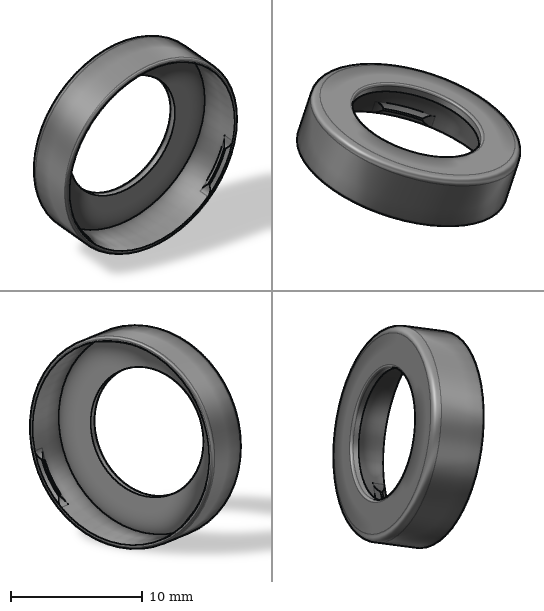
import cadquery as cq
import math

length = 4.4
outer_diameter = 16.7
skirt_bore_diameter = 16.0
opening_diameter = 10.2
plate_thickness = 0.7
front_round = 0.6
rear_round = 0.2
opening_round = 0.2

bump_angles = (-30, 90, 210)
bump_height = 0.17
bump_start = 3.39
crest_start = 3.84
crest_end = 4.0
base_half_angle = 17.3
crest_half_angle = 11.5
end_hollow = 0.042
wall_overlap = 0.08

skirt_bore_radius = skirt_bore_diameter / 2
crest_radius = skirt_bore_radius - bump_height


def cylinder(diameter, start, end):
    return cq.Workplane("YZ", origin=(start, 0, 0)).circle(diameter / 2).extrude(end - start)


def polar(radius, degrees):
    angle = math.radians(degrees)
    return radius * math.cos(angle), radius * math.sin(angle)


def make_cap():
    body = cylinder(outer_diameter, 0, length)
    body = body.faces("<X").edges().fillet(front_round)
    body = body.faces(">X").edges().fillet(rear_round)
    body = body.cut(cylinder(skirt_bore_diameter, plate_thickness, length))
    body = body.cut(cylinder(opening_diameter, 0, plate_thickness))
    return body.faces("<X").edges("%CIRCLE").edges(cq.selectors.RadiusNthSelector(0)).fillet(opening_round)


def make_bump_ring():
    """Full ring with the ramp, crest and back slope of a bump."""
    base_radius = skirt_bore_radius + wall_overlap
    profile = [
        (bump_start, base_radius),
        (bump_start, skirt_bore_radius),
        (crest_start, crest_radius),
        (crest_end, crest_radius),
        (length, skirt_bore_radius),
        (length, base_radius),
    ]
    return cq.Workplane("XY").polyline(profile).close().revolve(360, (0, 0, 0), (1, 0, 0))


def make_bump(angle):
    """Part of the bump ring, bounded by two sloping concave ends."""
    base_right = polar(skirt_bore_radius, angle - base_half_angle)
    base_left = polar(skirt_bore_radius, angle + base_half_angle)
    crest_right = polar(crest_radius, angle - crest_half_angle)
    crest_left = polar(crest_radius, angle + crest_half_angle)
    far_right = polar(outer_diameter, angle - base_half_angle)
    far_left = polar(outer_diameter, angle + base_half_angle)
    middle_radius = (skirt_bore_radius + crest_radius) / 2 + end_hollow
    middle_half_angle = (base_half_angle + crest_half_angle) / 2
    middle_right = polar(middle_radius, angle - middle_half_angle)
    middle_left = polar(middle_radius, angle + middle_half_angle)
    outline = (
        cq.Workplane("YZ")
        .moveTo(*far_right)
        .lineTo(*base_right)
        .threePointArc(middle_right, crest_right)
        .lineTo(0, 0)
        .lineTo(*crest_left)
        .threePointArc(middle_left, base_left)
        .lineTo(*far_left)
        .close()
    )
    sector = outline.extrude(length)
    return make_bump_ring().intersect(sector)


result = make_cap()
for bump_angle in bump_angles:
    result = result.union(make_bump(bump_angle))